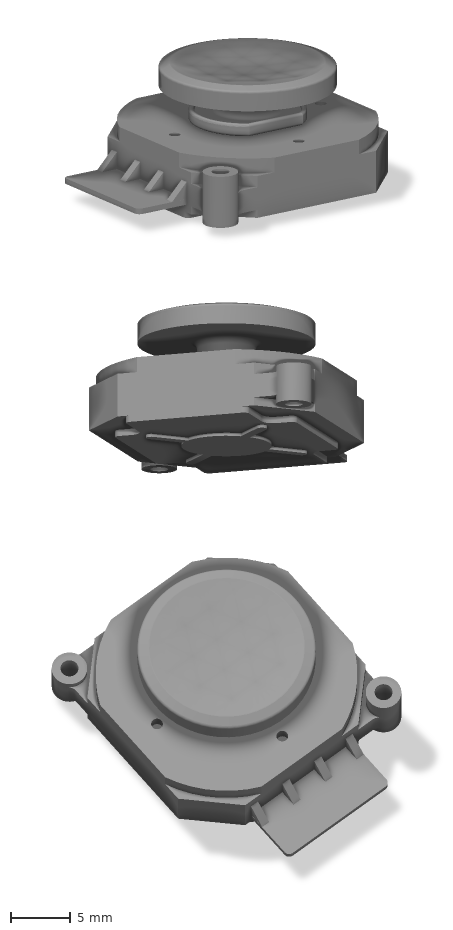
import cadquery as cq
import math

FOOT_TOP_Z = 0.25
PLATE_TOP_Z = 0.8
EAR_BOTTOM_Z = 1.5
EAR_TOP_Z = 3.5
LIP_Z = 4.5
DECK_Z = 5.8
CAP_BOTTOM_Z = 8.85
CAP_TOP_Z = 10.85

CASE_WIDTH = 20.2
CASE_HALF = CASE_WIDTH / 2
CASE_CHAMFER = 4.0
LIP_RADIUS = 11.0
DECK_HOLE_COUNT = 4
DECK_HOLE_DIAMETER = 1.0
DECK_HOLE_DEPTH = 1.0
DECK_HOLE_CIRCLE_RADIUS = 7.5

BOSS_DIAMETER = 3.0
BOSS_HOLE_DIAMETER = 1.5
BOSS_OFFSET = 9.39
FRONT_BOSS_TOP_Z = 5.3
REAR_BOSS_TOP_Z = 4.05
BOSS_BLEND_RADIUS = 1.0

PLATE_ARM_HALF = 5.49
PLATE_HALF_X = 8.1
PLATE_CORNER_RADIUS = 0.5
PLATE_INNER_RADIUS = 1.0
FOOT_HUB_RADIUS = 3.8
FOOT_ARM_WIDTH = 0.88
FOOT_ARM_REACH = 7.0

TAB_WIDTH = 10.97
TAB_LENGTH = 5.02
TAB_THICKNESS = 0.5
TAB_CORNER_RADIUS = 0.5
RIB_WIDTH = 0.75
RIB_REACH = 1.5
RIB_POSITIONS = [-5.1, -1.72, 1.72, 5.1]

COLLAR_RADIUS = 5.0
COLLAR_FLAT_X = 4.15
COLLAR_HEIGHT = 1.1
COLLAR_RIM_WIDTH = 0.5
COLLAR_RECESS_DEPTH = 0.29
COLLAR_FILLET = 0.23
STEM_DIAMETER = 5.0
STEM_FILLET = 0.5
CAP_DIAMETER = 15.0
CAP_SHOULDER_Z = 10.55
CAP_SHOULDER_FILLET = 0.23
CREST_OUTER_RADIUS = 6.58
CREST_INNER_RADIUS = 6.5
DISH_DEPTH = 0.65

PICK_MARGIN = 0.03


def block(x_size, y_size, z_bottom, z_top):
    """Box centred on the Z axis between two heights."""
    return (
        cq.Workplane("XY", origin=(0, 0, z_bottom))
        .rect(x_size, y_size)
        .extrude(z_top - z_bottom)
    )


def cylinder(x, y, diameter, z_bottom, z_top):
    return (
        cq.Workplane("XY", origin=(x, y, z_bottom))
        .circle(diameter / 2)
        .extrude(z_top - z_bottom)
    )


def make_case():
    """Square case with chamfered corners below and a rounded lip on top."""
    lower = block(CASE_WIDTH, CASE_WIDTH, PLATE_TOP_Z, LIP_Z).edges("|Z").chamfer(CASE_CHAMFER)
    lip_round = cylinder(0, 0, 2 * LIP_RADIUS, LIP_Z, DECK_Z)
    lip = block(CASE_WIDTH, CASE_WIDTH, LIP_Z, DECK_Z).intersect(lip_round)
    return lower.union(lip)


def make_ear():
    """Web that fills the +X, -Y case corner and blends into its boss with two arcs."""
    boss_radius = BOSS_DIAMETER / 2
    centre_out = CASE_HALF + BOSS_BLEND_RADIUS - BOSS_OFFSET
    centre_along = math.sqrt((boss_radius + BOSS_BLEND_RADIUS) ** 2 - centre_out**2)
    boss_share = boss_radius / (boss_radius + BOSS_BLEND_RADIUS)
    start = BOSS_OFFSET - centre_along
    touch_along = BOSS_OFFSET - centre_along * boss_share
    touch_out = BOSS_OFFSET + centre_out * boss_share
    half_angle = math.atan2(centre_along, centre_out) / 2
    middle_along = start + BOSS_BLEND_RADIUS * math.sin(half_angle)
    middle_out = CASE_HALF + BOSS_BLEND_RADIUS * (1 - math.cos(half_angle))
    chamfer_start = CASE_HALF - CASE_CHAMFER
    return (
        cq.Workplane("XY", origin=(0, 0, EAR_BOTTOM_Z))
        .moveTo(0, 0)
        .lineTo(chamfer_start, -CASE_HALF)
        .lineTo(start, -CASE_HALF)
        .threePointArc((middle_along, -middle_out), (touch_along, -touch_out))
        .lineTo(BOSS_OFFSET, -BOSS_OFFSET)
        .lineTo(touch_out, -touch_along)
        .threePointArc((middle_out, -middle_along), (CASE_HALF, -start))
        .lineTo(CASE_HALF, -chamfer_start)
        .close()
        .extrude(EAR_TOP_Z - EAR_BOTTOM_Z)
    )


def add_bosses(case):
    ear = make_ear()
    corners = [(BOSS_OFFSET, FRONT_BOSS_TOP_Z, 0), (-BOSS_OFFSET, REAR_BOSS_TOP_Z, 180)]
    for x, top_z, turn in corners:
        boss = cylinder(x, -x, BOSS_DIAMETER, PLATE_TOP_Z, top_z)
        hole = cylinder(x, -x, BOSS_HOLE_DIAMETER, PLATE_TOP_Z, top_z)
        turned_ear = ear.rotate((0, 0, 0), (0, 0, 1), turn)
        case = case.union(turned_ear).union(boss).cut(hole)
    return case


def make_plate():
    """Cross-shaped base plate with rounded outer and inner corners."""
    arm_width = 2 * PLATE_ARM_HALF
    long_arm = block(arm_width, CASE_WIDTH, FOOT_TOP_Z, PLATE_TOP_Z)
    wide_arm = block(2 * PLATE_HALF_X, arm_width, FOOT_TOP_Z, PLATE_TOP_Z)
    long_arm = long_arm.edges("|Z").fillet(PLATE_CORNER_RADIUS)
    wide_arm = wide_arm.edges("|Z").fillet(PLATE_CORNER_RADIUS)
    corner_reach = PLATE_ARM_HALF + PICK_MARGIN
    inner_corner = cq.selectors.BoxSelector(
        (-corner_reach, -corner_reach, FOOT_TOP_Z),
        (corner_reach, corner_reach, PLATE_TOP_Z),
    )
    return long_arm.union(wide_arm).edges("|Z").edges(inner_corner).fillet(PLATE_INNER_RADIUS)


def make_foot():
    """Round hub with four round-ended arms along the diagonals."""
    foot = cylinder(0, 0, 2 * FOOT_HUB_RADIUS, 0, FOOT_TOP_Z)
    arm_length = 2 * FOOT_ARM_REACH + FOOT_ARM_WIDTH
    for angle in (45, 135):
        arms = cq.Workplane("XY").slot2D(arm_length, FOOT_ARM_WIDTH, angle).extrude(FOOT_TOP_Z)
        foot = foot.union(arms)
    return foot


def make_tab():
    """Flat tab on the -Y side, with triangular ribs against the case."""
    tab = (
        cq.Workplane("XY", origin=(0, -CASE_HALF - TAB_LENGTH / 2, EAR_BOTTOM_Z))
        .rect(TAB_WIDTH, TAB_LENGTH)
        .extrude(TAB_THICKNESS)
        .edges("|Z and <Y")
        .fillet(TAB_CORNER_RADIUS)
    )
    tab_top_z = EAR_BOTTOM_Z + TAB_THICKNESS
    for x in RIB_POSITIONS:
        rib = (
            cq.Workplane("YZ", origin=(x, 0, 0))
            .moveTo(-CASE_HALF, tab_top_z)
            .lineTo(-CASE_HALF - RIB_REACH, tab_top_z)
            .lineTo(-CASE_HALF, EAR_TOP_Z)
            .close()
            .extrude(RIB_WIDTH / 2, both=True)
        )
        tab = tab.union(rib)
    return tab


def cut_deck_holes(case):
    holes = (
        cq.Workplane("XY", origin=(0, 0, DECK_Z))
        .polarArray(DECK_HOLE_CIRCLE_RADIUS, 0, 360, DECK_HOLE_COUNT)
        .circle(DECK_HOLE_DIAMETER / 2)
        .extrude(-DECK_HOLE_DEPTH)
    )
    return case.cut(holes)


def make_housing():
    housing = add_bosses(make_case())
    housing = housing.union(make_plate()).union(make_foot()).union(make_tab())
    return cut_deck_holes(housing)


def flatted_disc(inset, z_bottom, z_top):
    """Disc with the collar's outline, moved inward by an inset."""
    radius = COLLAR_RADIUS - inset
    flat_x = COLLAR_FLAT_X - inset
    disc = cylinder(0, 0, 2 * radius, z_bottom, z_top)
    keep = block(2 * flat_x, 2 * COLLAR_RADIUS, z_bottom, z_top)
    keep = keep.union(keep.translate((-flat_x, 0, 0)))
    return disc.intersect(keep)


def make_collar():
    """Flatted disc with rounded edges and a shallow recess inside its rim."""
    top_z = DECK_Z + COLLAR_HEIGHT
    floor_z = top_z - COLLAR_RECESS_DEPTH
    collar = flatted_disc(0, DECK_Z, top_z).cut(flatted_disc(COLLAR_RIM_WIDTH, floor_z, top_z))
    return collar.faces(">Z or <Z").edges().fillet(COLLAR_FILLET)


def make_stem():
    """Stem that flares with concave fillets into the collar floor and the cap."""
    floor_z = DECK_Z + COLLAR_HEIGHT - COLLAR_RECESS_DEPTH
    radius = STEM_DIAMETER / 2
    flare_radius = radius + STEM_FILLET
    bend = STEM_FILLET * (1 - math.sqrt(0.5))
    return (
        cq.Workplane("XZ")
        .moveTo(0, floor_z)
        .lineTo(flare_radius, floor_z)
        .threePointArc((radius + bend, floor_z + bend), (radius, floor_z + STEM_FILLET))
        .lineTo(radius, CAP_BOTTOM_Z - STEM_FILLET)
        .threePointArc((radius + bend, CAP_BOTTOM_Z - bend), (flare_radius, CAP_BOTTOM_Z))
        .lineTo(0, CAP_BOTTOM_Z)
        .close()
        .revolve(360, (0, 0, 0), (0, 1, 0))
    )


def make_cap():
    """Thumb cap with a sloping shoulder and a spherical dish."""
    radius = CAP_DIAMETER / 2
    sphere_radius = (CREST_INNER_RADIUS**2 + DISH_DEPTH**2) / (2 * DISH_DEPTH)
    cap = (
        cq.Workplane("XZ")
        .moveTo(0, CAP_BOTTOM_Z)
        .lineTo(radius, CAP_BOTTOM_Z)
        .lineTo(radius, CAP_SHOULDER_Z)
        .lineTo(CREST_OUTER_RADIUS, CAP_TOP_Z)
        .lineTo(0, CAP_TOP_Z)
        .close()
        .revolve(360, (0, 0, 0), (0, 1, 0))
    )
    shoulder = cq.selectors.BoxSelector(
        (-radius - PICK_MARGIN, -radius - PICK_MARGIN, CAP_SHOULDER_Z - PICK_MARGIN),
        (radius + PICK_MARGIN, radius + PICK_MARGIN, CAP_SHOULDER_Z + PICK_MARGIN),
        boundingbox=True,
    )
    cap = cap.edges(shoulder).fillet(CAP_SHOULDER_FILLET)
    dish_ball = (
        cq.Workplane("XY", origin=(0, 0, CAP_TOP_Z - DISH_DEPTH + sphere_radius))
        .sphere(sphere_radius, direct=(0, 1, 0))
    )
    return cap.cut(dish_ball)


def make_stick():
    return make_collar().union(make_stem()).union(make_cap())


housing = make_housing()
stick = make_stick()

result = cq.Compound.makeCompound([housing.solids().val(), stick.solids().val()])